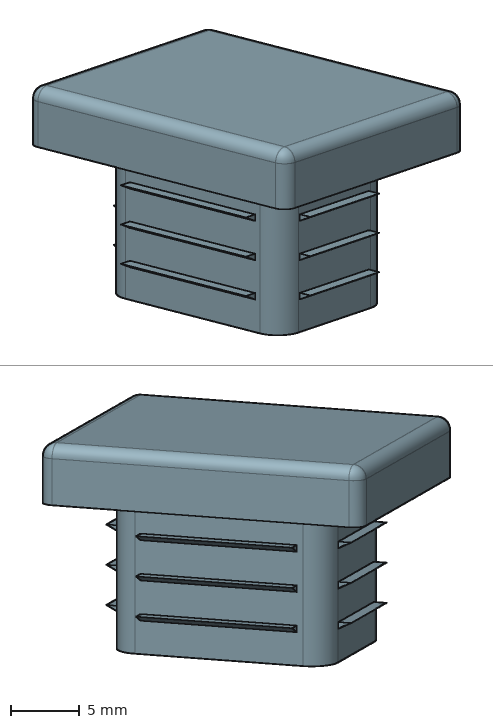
import cadquery as cq

head_length = 25.0
head_width = 20.0
head_height = 4.5
head_radius = 1.0

plug_length = 17.0
plug_width = 12.0
plug_height = 11.5
plug_radius = 2.0

fin_reach = 1.0
fin_thickness = 0.5
fin_pitch = 3.0
fin_count = 3
long_fin_length = 12.1
short_fin_length = 7.65
fin_embed = 0.25


def make_head():
    block = cq.Workplane("XY").workplane(offset=plug_height)
    block = block.rect(head_length, head_width).extrude(head_height)
    return block.edges("|Z or >Z").fillet(head_radius)


def make_plug():
    block = cq.Workplane("XY").rect(plug_length, plug_width).extrude(plug_height)
    return block.edges("|Z").fillet(plug_radius)


def make_fin(face_distance, length, top):
    """Fin on the +X side of a face at face_distance from the axis."""
    root = face_distance - fin_embed
    tip = face_distance + fin_reach
    profile = [
        (root, top),
        (tip, top),
        (face_distance, top - fin_thickness),
        (root, top - fin_thickness),
    ]
    return cq.Workplane("XZ").polyline(profile).close().extrude(length / 2, both=True)


result = make_head().union(make_plug())

sides = [
    (0, plug_length / 2, short_fin_length),
    (90, plug_width / 2, long_fin_length),
    (180, plug_length / 2, short_fin_length),
    (270, plug_width / 2, long_fin_length),
]
for angle, face_distance, fin_length in sides:
    for level in range(1, fin_count + 1):
        fin = make_fin(face_distance, fin_length, level * fin_pitch)
        result = result.union(fin.rotate((0, 0, 0), (0, 0, 1), angle))